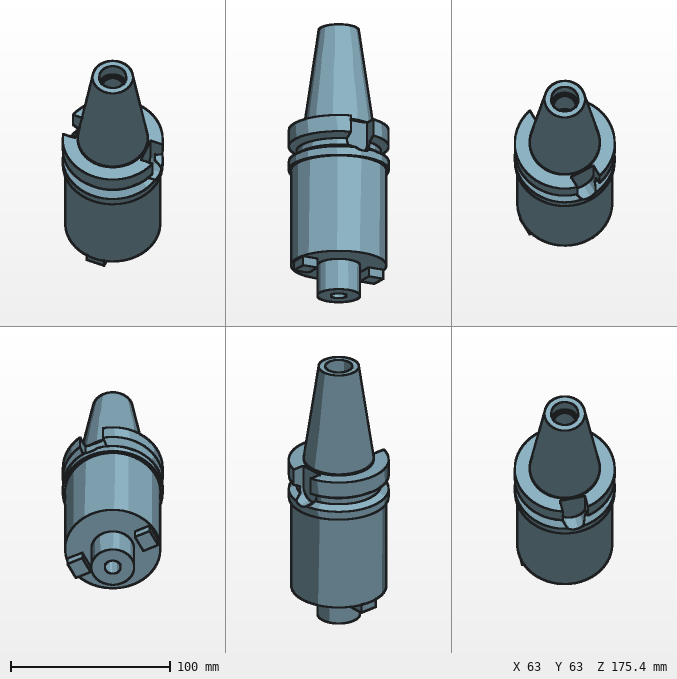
import cadquery as cq

total_height = 175.4
pilot_height = 20.0
body_top = 83.0
flange_top = 109.3
taper_base = 110.2

pilot_diameter = 27.0
body_diameter = 60.0
flange_diameter = 63.0
groove_diameter = 53.1
neck_diameter = 43.8
taper_base_diameter = 44.4
taper_tip_diameter = 25.5

groove_start = 10.7
groove_floor_start = 13.7
groove_floor_end = 17.9
groove_end = 20.7

slot_width = 16.1
slot_depth = 22.3
slot_floor_distance = 22.5

key_width = 12.0
key_height = 6.0
key_inner_distance = 18.5
key_outer_distance = 28.8

through_diameter = 10.0
tip_bore_steps = [(17.0, 8.8), (15.0, 10.5), (13.9, 29.8), (12.1, 31.5)]


def turned_body():
    """Revolve the outer half-profile, given as (radius, height), about Z."""
    outline = [
        (0, 0),
        (pilot_diameter / 2, 0),
        (pilot_diameter / 2, pilot_height),
        (body_diameter / 2, pilot_height),
        (body_diameter / 2, body_top),
        (flange_diameter / 2, body_top),
        (flange_diameter / 2, flange_top - groove_end),
        (groove_diameter / 2, flange_top - groove_floor_end),
        (groove_diameter / 2, flange_top - groove_floor_start),
        (flange_diameter / 2, flange_top - groove_start),
        (flange_diameter / 2, flange_top),
        (neck_diameter / 2, flange_top),
        (neck_diameter / 2, taper_base),
        (taper_base_diameter / 2, taper_base),
        (taper_tip_diameter / 2, total_height),
        (0, total_height),
    ]
    return cq.Workplane("XZ").polyline(outline).close().revolve(360, (0, 0), (0, 1))


def drive_slot(side):
    """Round-bottomed cutter for the slot on one side of X (side is +1 or -1)."""
    slot_radius = slot_width / 2
    arc_height = flange_top - slot_depth + slot_radius
    return (
        cq.Workplane("YZ", origin=(side * slot_floor_distance, 0, 0))
        .moveTo(-slot_radius, flange_top)
        .lineTo(-slot_radius, arc_height)
        .threePointArc((0, flange_top - slot_depth), (slot_radius, arc_height))
        .lineTo(slot_radius, flange_top)
        .close()
        .extrude(side * flange_diameter / 2)
    )


def drive_key(side):
    """Rectangular key below the body on one side of Y (side is +1 or -1)."""
    key_length = key_outer_distance - key_inner_distance
    key_center = side * (key_inner_distance + key_outer_distance) / 2
    return (
        cq.Workplane("XY", origin=(0, key_center, pilot_height - key_height))
        .rect(key_width, key_length)
        .extrude(key_height)
    )


def axial_cylinder(diameter, depth):
    """Cylinder reaching down from the taper tip along the tool axis."""
    return cq.Workplane("XY", origin=(0, 0, total_height)).circle(diameter / 2).extrude(-depth)


result = turned_body()
for side in (-1, 1):
    result = result.cut(drive_slot(side)).union(drive_key(side))

result = result.cut(axial_cylinder(through_diameter, total_height))
for diameter, depth in tip_bore_steps:
    result = result.cut(axial_cylinder(diameter, depth))